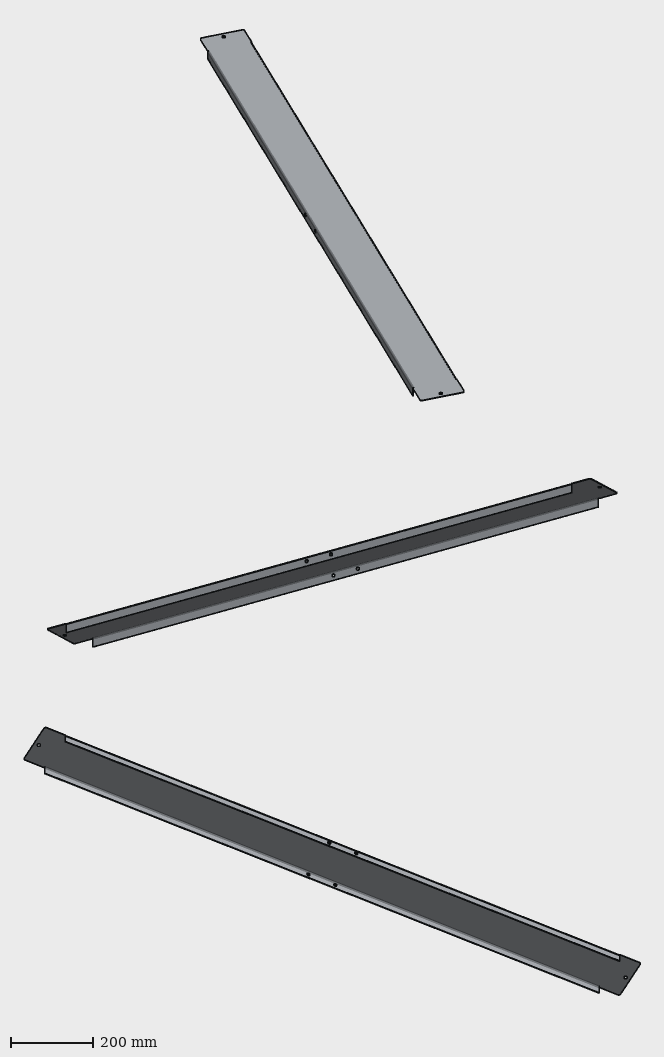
import cadquery as cq

length = 1625.0
width = 114.0
height = 25.0

thickness = 2.5
bend_radius = 3.0
corner_radius = 5.0
flange_length = 1511.0

hole_diameter = 8.0
end_hole_inset = 13.0
side_hole_spacing = 73.0
side_hole_depth = 11.0


def folded_channel():
    """Downward-facing U channel with small rounded folds along both long sides."""
    outer = (
        cq.Workplane("XY")
        .box(flange_length, width, height, centered=(True, True, False))
        .edges("|X and >Z")
        .fillet(bend_radius)
    )
    inner = (
        cq.Workplane("XY")
        .box(flange_length, width - 2 * thickness, height - thickness, centered=(True, True, False))
        .edges("|X and >Z")
        .fillet(bend_radius - thickness)
    )
    return outer.cut(inner)


def end_tab(side):
    """Flat tab carrying the top sheet past the flanges; side is -1 or +1 along X."""
    tab_length = (length - flange_length) / 2
    return (
        cq.Workplane("XY", origin=(side * (length - tab_length) / 2, 0, height - thickness))
        .box(tab_length, width, thickness, centered=(True, True, False))
        .edges("|Z and " + (">X" if side > 0 else "<X"))
        .fillet(corner_radius)
    )


result = folded_channel()
for side in (-1, 1):
    result = result.union(end_tab(side))

end_holes = (
    cq.Workplane("XY")
    .pushPoints([(side * (length / 2 - end_hole_inset), 0) for side in (-1, 1)])
    .circle(hole_diameter / 2)
    .extrude(height)
)

side_holes = (
    cq.Workplane("XZ")
    .pushPoints([(side * side_hole_spacing / 2, height - side_hole_depth) for side in (-1, 1)])
    .circle(hole_diameter / 2)
    .extrude(width, both=True)
)

result = result.cut(end_holes).cut(side_holes)